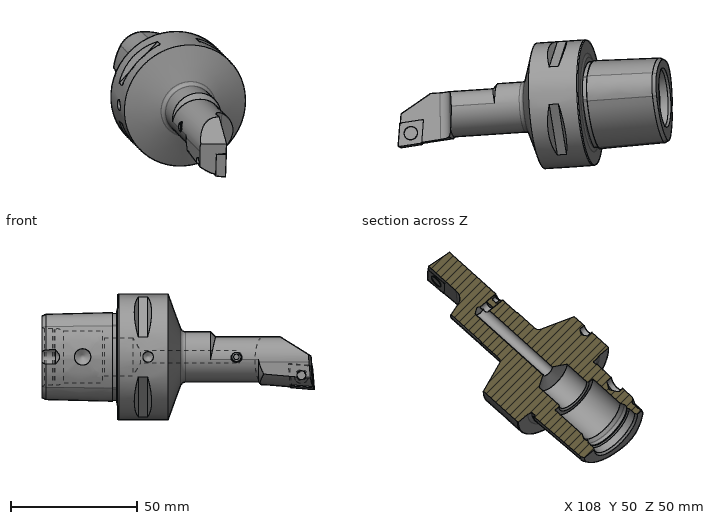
import cadquery as cq
import math


shank_length = 30.0
lobe_offset = 8.2
lobe_radius = 10.5
lobe_half_angle = 30.0
shape_width = 35.05
taper_angle = math.degrees(math.atan(1 / 40))
taper_end = -2.15
end_chamfer_length = 1.5
end_chamfer_depth = 0.75
neck_inset = 0.3
neck_radius = 17.9
collar_x = -0.45
collar_radius = 18.0
collar_base_radius = 19.6

bore_mouth_radius = 11.8
bore_entry_radius = 11.2
bore_step_radius = 10.7
bore_groove_radius = 11.2
bore_lead_radius = 11.0
bore_radius = 10.3
bore_mouth_chamfer = 1.0
bore_entry_depth = 4.2
bore_step_cone = 0.6
bore_groove_start = 5.1
bore_groove_width = 1.8
bore_lead_length = 1.6
bore_depth = 24.0
inner_mouth_radius = 8.3
inner_bore_radius = 7.6
inner_bore_depth = 36.0
coolant_radius = 2.5
coolant_end = 48.0

drill_half_angle = 59.0
shank_hole_x = -13.9
shank_hole_radius = 3.25
shank_hole_floor = -13.6
flange_hole_x = 12.05
flange_hole_radius = 2.1
flange_hole_floor = -22.5
key_radius = 3.5
key_axis_y = -17.6
key_length = 5.3

flange_radius = 25.0
flange_length = 20.0
rim_chamfer_length = 0.5
rim_chamfer_depth = 0.2
cone_slope = 70.0
slot_x = 10.0
slot_floor_distance = 22.35
slot_floor_width = 3.7
slot_side_angle = 31.0
slot_angles = (45, 135, 225, 315)

bar_radius = 10.0
bar_fillet = 2.0
offset_start = 36.8
bar_drop = 2.0
head_start = 55.8
tip_x = 78.0
tip_z = -13.0
head_end_clearance = 0.25
head_bottom_clearance = 0.35
head_tilt = 5.0
head_end_relief = 5.7
head_bottom_radius = 20.75
head_bottom_relief = 7.5
rake_tilt = 3.5
rake_corner_x = 57.0
rake_wall_lean = 16.0
rake_fillet = 5.0
nose_slope = 32.0
nose_slope_start = 64.4

insert_circle_radius = 9.525 / 2
insert_corner = 80.0
insert_thickness = 3.97
insert_clearance = 7.0
nose_radius = 0.4
screw_radius = 1.75
screw_head_radius = 2.7
screw_sink = 0.3
screw_cone_depth = 2.0
screw_end_depth = 9.0

plug_x = 47.05
plug_radius = 1.8
plug_mouth_radius = 2.35
plug_outer_y = -9.0
plug_length = 4.5
socket_radius = 1.1
socket_depth = 2.0

reach = 40.0


def tan(degrees):
    return math.tan(math.radians(degrees))


def sin(degrees):
    return math.sin(math.radians(degrees))


def cos(degrees):
    return math.cos(math.radians(degrees))


def turned(points):
    """Solid of revolution about X from (x, radius) points."""
    return cq.Workplane("XY").polyline(points).close().revolve(360, (0, 0, 0), (1, 0, 0))


def lobed_outline(x, inset):
    """Three-lobed outline of constant width in the plane at x, facing -X, shrunk by inset."""
    lobe = lobe_radius - inset
    flat = shape_width - lobe_radius - inset

    def at(centre_angle, radius, angle, centre_offset):
        across = centre_offset * cos(centre_angle) + radius * cos(angle)
        up = centre_offset * sin(centre_angle) + radius * sin(angle)
        return across, up

    plane = cq.Plane(origin=(x, 0, 0), xDir=(0, 1, 0), normal=(-1, 0, 0))
    outline = cq.Workplane(plane).moveTo(*at(0, lobe, -lobe_half_angle, lobe_offset))
    for middle in (0, 120, 240):
        lobe_end = at(middle, lobe, middle + lobe_half_angle, lobe_offset)
        flat_middle = at(middle + 60, flat, middle + 60, -lobe_offset)
        flat_end = at(middle + 120, lobe, middle + 120 - lobe_half_angle, lobe_offset)
        outline = outline.threePointArc(at(middle, lobe, middle, lobe_offset), lobe_end)
        outline = outline.threePointArc(flat_middle, flat_end)
    return outline.close()


def lobed_frustum(x_wide, x_narrow, inset_wide, inset_narrow):
    """Straight-sided solid between two insets of the lobed outline."""
    wide = lobed_outline(x_wide, inset_wide).val()
    narrow = lobed_outline(x_narrow, inset_narrow).val()
    return cq.Workplane(obj=cq.Solid.makeLoft([wide, narrow], True))


def drilled_y(x, radius, floor_y):
    """Blind drilling from -Y with a drill-point bottom."""
    point_y = floor_y + radius / tan(drill_half_angle)
    profile = [(0, -reach), (radius, -reach), (radius, floor_y), (0, point_y)]
    drill = cq.Workplane("XY").polyline(profile).close().revolve(360, (0, 0, 0), (0, 1, 0))
    return drill.translate((x, 0, 0))


def make_shank():
    chamfer_x = -shank_length + end_chamfer_length
    chamfer_inset = (taper_end - chamfer_x) * tan(taper_angle)
    taper = lobed_frustum(taper_end, chamfer_x, 0, chamfer_inset)
    tip = lobed_frustum(chamfer_x, -shank_length, chamfer_inset, chamfer_inset + end_chamfer_depth)
    neck = lobed_outline(0, neck_inset).extrude(-taper_end)
    neck = neck.intersect(turned([(taper_end, 0), (taper_end, neck_radius), (0, neck_radius), (0, 0)]))
    collar = turned([(collar_x, 0), (collar_x, collar_radius), (0, collar_base_radius), (0, 0)])
    return taper.union(tip).union(neck).union(collar)


def make_flange_and_bar():
    cone_end = flange_length + (flange_radius - bar_radius) / tan(cone_slope)
    profile = [
        (0, 0),
        (0, flange_radius - rim_chamfer_depth),
        (rim_chamfer_length, flange_radius),
        (flange_length, flange_radius),
        (cone_end, bar_radius),
        (offset_start, bar_radius),
        (offset_start, 0),
    ]
    return turned(profile).edges(cq.NearestToPointSelector((cone_end, 0, 0))).fillet(bar_fillet)


def dropped_section(x_start, x_end):
    """Prism along X: round top about the dropped axis, straight sides and an open depth below."""
    plane = cq.Plane(origin=(x_start, 0, 0), xDir=(0, 1, 0), normal=(1, 0, 0))
    section = (
        cq.Workplane(plane)
        .moveTo(-bar_radius, -bar_drop)
        .threePointArc((0, bar_radius - bar_drop), (bar_radius, -bar_drop))
        .lineTo(bar_radius, -reach)
        .lineTo(-bar_radius, -reach)
        .close()
    )
    return section.extrude(x_end - x_start)


def make_dropped_bar():
    """Bar with its upper half about the dropped axis and a 45 degree step at its start."""
    round_bar = turned([
        (offset_start, 0), (offset_start, bar_radius), (head_start, bar_radius), (head_start, 0)])
    step = turned([(offset_start, 0), (offset_start, bar_radius), (offset_start + bar_radius, 0)])
    return round_bar.intersect(dropped_section(offset_start, head_start)).union(step)


def make_head_blank():
    cone = turned([
        (head_start, 0), (head_start, bar_radius), (tip_x, bar_radius + tip_x - head_start), (tip_x, 0)])
    blank = dropped_section(head_start, tip_x).intersect(cone)

    centre_y = head_bottom_radius * sin(head_bottom_relief)
    centre_z = tip_z + head_bottom_clearance + head_bottom_radius * cos(head_bottom_relief)
    tilted = cq.Plane(
        origin=(tip_x, centre_y, centre_z), xDir=(0, 1, 0), normal=(cos(head_tilt), 0, -sin(head_tilt)))
    bottom = cq.Workplane(tilted).circle(head_bottom_radius).extrude(reach, both=True)
    return blank.intersect(bottom)


def head_end_cutter():
    """Everything beyond the leaning end face of the head."""
    plane = cq.Plane(
        origin=(tip_x - head_end_clearance, 0, tip_z), normal=(1, -tan(head_end_relief), tan(head_tilt)))
    return cq.Workplane(plane).rect(2 * reach, 2 * reach).extrude(reach)


def nose_cutter():
    """Wedge above the sloping flat on top of the head."""
    top = bar_radius - bar_drop
    drop = (tip_x - nose_slope_start) * tan(nose_slope)
    wedge = cq.Workplane("XZ").polyline([(nose_slope_start, top), (tip_x, top), (tip_x, top - drop)]).close()
    return wedge.extrude(reach, both=True)


def rake_cutter():
    """Chip space above the rake face, with a rounded runout towards the bar."""
    wall_shift = reach * tan(rake_wall_lean)
    corners = [
        (rake_corner_x, 0), (tip_x + reach, 0), (tip_x + reach, reach), (rake_corner_x - wall_shift, reach)]
    cutter = cq.Workplane("XY").polyline(corners).close().extrude(reach, both=True)
    cutter = cutter.edges(cq.NearestToPointSelector((rake_corner_x, 0, 0))).fillet(rake_fillet)
    cutter = cutter.translate((0, 0, tip_z))
    return cutter.rotate((0, 0, tip_z), (1, 0, tip_z), -rake_tilt)


rake_plane = cq.Plane(
    origin=(tip_x, 0, tip_z), xDir=(1, 0, 0), normal=(0, -cos(rake_tilt), sin(rake_tilt)))

insert_bisector = head_tilt + insert_corner / 2
rounded_inradius = insert_circle_radius - nose_radius
long_half_diagonal = rounded_inradius / sin(insert_corner / 2)
short_half_diagonal = rounded_inradius / cos(insert_corner / 2)
insert_centre = (
    -nose_radius - long_half_diagonal * cos(insert_bisector),
    nose_radius + long_half_diagonal * sin(insert_bisector),
)


def make_insert_blank():
    """Rhombic plate with rounded corners and sides that draw in below the cutting edges."""
    corners = [
        (long_half_diagonal, 0),
        (0, short_half_diagonal),
        (-long_half_diagonal, 0),
        (0, -short_half_diagonal),
    ]
    return (
        cq.Workplane(rake_plane)
        .center(*insert_centre)
        .transformed(rotate=(0, 0, -insert_bisector))
        .polyline(corners).close()
        .offset2D(nose_radius)
        .extrude(insert_thickness, taper=insert_clearance)
    )


def turned_about_screw(points):
    """Solid of revolution about the insert screw's axis from (radius, depth below rake face) points."""
    origin = rake_plane.toWorldCoords((*insert_centre, 0))
    axis_plane = cq.Plane(origin=origin, xDir=(1, 0, 0), normal=-rake_plane.yDir)
    return cq.Workplane(axis_plane).polyline(points).close().revolve(360, (0, 0, 0), (0, 1, 0))


def screw_hole_cutter():
    """Countersunk hole through the insert and on through the head."""
    return turned_about_screw([
        (0, 0),
        (screw_head_radius, 0),
        (screw_head_radius, screw_sink),
        (screw_radius, screw_cone_depth),
        (screw_radius, reach),
        (0, reach),
    ])


def bore_cutter():
    """Stepped bore with a rounded groove, an inner bore and the coolant hole."""
    end = -shank_length
    entry_end = end + bore_entry_depth
    groove_start = end + bore_groove_start
    groove_end = groove_start + bore_groove_width
    shoulder = end + bore_depth
    inner_end = end + inner_bore_depth
    coolant_start = inner_end + (inner_bore_radius - coolant_radius) / tan(drill_half_angle)
    profile = (
        cq.Workplane("XY")
        .moveTo(end, 0)
        .lineTo(end, bore_mouth_radius)
        .lineTo(end + bore_mouth_chamfer, bore_entry_radius)
        .lineTo(entry_end, bore_entry_radius)
        .lineTo(entry_end + bore_step_cone, bore_step_radius)
        .lineTo(groove_start, bore_step_radius)
        .threePointArc(
            (groove_start + bore_groove_width / 2, bore_groove_radius), (groove_end, bore_lead_radius))
        .lineTo(groove_end + bore_lead_length, bore_radius)
        .lineTo(shoulder, bore_radius)
        .lineTo(shoulder, inner_mouth_radius)
        .lineTo(shoulder + inner_mouth_radius - inner_bore_radius, inner_bore_radius)
        .lineTo(inner_end, inner_bore_radius)
        .lineTo(coolant_start, coolant_radius)
        .lineTo(coolant_end, coolant_radius)
        .lineTo(coolant_end + coolant_radius / tan(drill_half_angle), 0)
        .close()
    )
    return profile.revolve(360, (0, 0, 0), (1, 0, 0))


def key_cutter():
    """Round key slot along X with a 45 degree conical end."""
    start = -shank_length
    end = start + key_length
    slot = turned([(start, 0), (start, key_radius), (end, key_radius), (end + key_radius, 0)])
    return slot.translate((0, key_axis_y, 0))


def gripper_slot_cutter(angle):
    """V-sided slot across the flange rim; its floor faces the given angle about X."""
    depth = flange_radius - slot_floor_distance
    half_floor = slot_floor_width / 2
    half_mouth = half_floor + depth * tan(slot_side_angle)
    profile = [
        (slot_x - half_floor, slot_floor_distance), (slot_x + half_floor, slot_floor_distance),
        (slot_x + half_mouth, flange_radius), (slot_x - half_mouth, flange_radius)]
    cutter = cq.Workplane("XY").polyline(profile).close().extrude(reach, both=True)
    return cutter.rotate((0, 0, 0), (1, 0, 0), angle)


def plug_hole_cutter():
    """Cross hole from the -Y side into the coolant hole, with a chamfered mouth."""
    mouth = -bar_radius
    chamfer = plug_mouth_radius - plug_radius
    profile = [
        (0, mouth), (plug_mouth_radius, mouth), (plug_radius, mouth + chamfer), (plug_radius, 0), (0, 0)]
    hole = cq.Workplane("XY").polyline(profile).close().revolve(360, (0, 0, 0), (0, 1, 0))
    return hole.translate((plug_x, 0, 0))


def make_holder():
    holder = make_shank().union(make_flange_and_bar()).union(make_dropped_bar()).union(make_head_blank())
    holder = holder.cut(rake_cutter()).cut(nose_cutter()).cut(head_end_cutter())
    holder = holder.cut(bore_cutter()).cut(key_cutter()).cut(plug_hole_cutter())
    holder = holder.cut(drilled_y(shank_hole_x, shank_hole_radius, shank_hole_floor))
    holder = holder.cut(drilled_y(flange_hole_x, flange_hole_radius, flange_hole_floor))
    for angle in slot_angles:
        holder = holder.cut(gripper_slot_cutter(angle))
    return holder.cut(make_insert_blank()).cut(screw_hole_cutter())


def make_insert():
    return make_insert_blank().cut(screw_hole_cutter())


def make_insert_screw():
    """Countersunk screw, sunk below the rake face and ending inside the head."""
    return turned_about_screw([
        (0, screw_sink),
        (screw_head_radius, screw_sink),
        (screw_radius, screw_cone_depth),
        (screw_radius, screw_end_depth),
        (0, screw_end_depth),
    ])


def make_coolant_plug():
    """Plug with a round blind socket in its outer end."""
    plane = cq.Plane(origin=(plug_x, plug_outer_y, 0), xDir=(1, 0, 0), normal=(0, 1, 0))
    plug = cq.Workplane(plane).circle(plug_radius).extrude(plug_length)
    return plug.cut(cq.Workplane(plane).circle(socket_radius).extrude(socket_depth))


holder = make_holder()
insert = make_insert()
insert_screw = make_insert_screw()
coolant_plug = make_coolant_plug()

result = cq.Compound.makeCompound([
    *holder.solids().vals(),
    *insert.solids().vals(),
    *insert_screw.solids().vals(),
    *coolant_plug.solids().vals(),
])